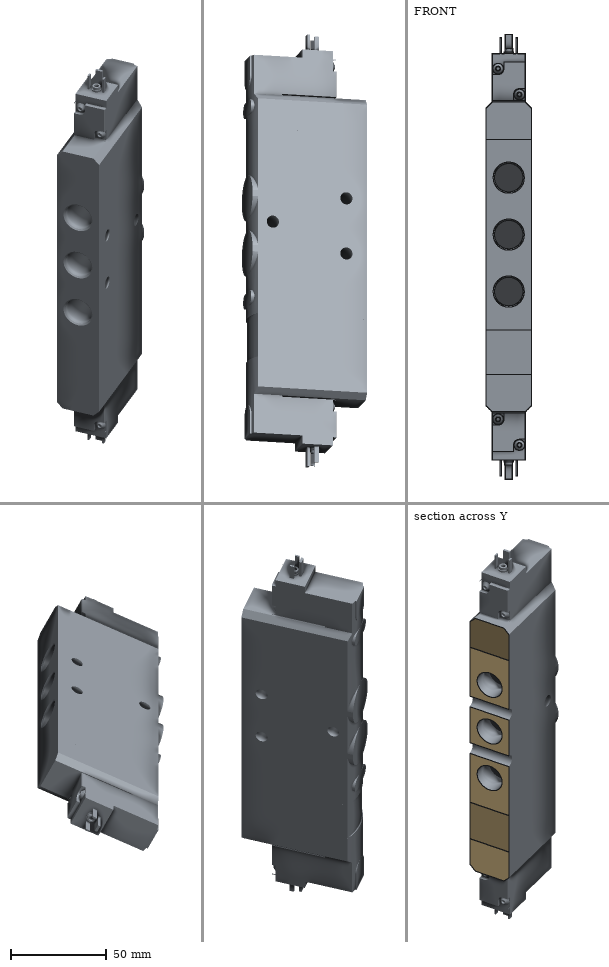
import cadquery as cq

overall_length = 234.0
width = 24.0
depth = 62.0

stack_half_length = 81.5
cap_length = 19.7
spacer_length = 23.5
upper_joint = stack_half_length - cap_length
lower_joint = -upper_joint
spacer_joint = lower_joint + spacer_length
main_mid = (upper_joint + spacer_joint) / 2

crown_drop = 3.0
spacer_inset = 0.7

port_pitch = 30.0
port_diameter = 15.0
port_depth = 23.5
port_chamfer = 0.7
mount_diameter = 6.5
front_mount_y = 11.2
back_mount_y = 51.0

port_boss_diameter = 24.3
plate_width = 18.3
plate_height = 8.0
cap_plate_z = 75.0
main_plate_z = -28.3
arm_pad_width = 12.6
arm_pad_straight = 10.8

shoulder_chamfer = 3.3
neck_width = width - 2 * shoulder_chamfer
arm_end = 102.5
arm_front_y = 45.5
pilot_gap = 0.7
pilot_start = stack_half_length + pilot_gap
pilot_front_y = 17.8
head_back_y = 34.2
head_end = 107.0

cover_thickness = 2.0
cover_bevel = 0.35
notch_radius = 3.0
screw_x = 5.5
upper_screw_z = 99.0
lower_screw_z = 85.5
screw_diameter = 5.5
screw_top_diameter = 2.5
screw_height = 1.6
screw_bevel = (screw_diameter - screw_top_diameter) / 2
socket_diameter = 2.01
socket_depth = 1.0

stud_y = 25.5
flange_diameter = 5.0
flange_height = 1.0
collar_diameter = 4.2
collar_height = 1.6
stud_bore_diameter = 2.5
back_blade_y = 29.2
back_blade_width = 3.7
back_blade_thickness = 1.5
side_blade_x = 4.2
side_blade_width = 2.3
side_blade_thickness = 1.0
side_blade_end = 115.4


def box(x_size, y_start, y_end, z_start, z_end, x_mid=0.0):
    """Block centred on x_mid in X, spanning the given Y and Z ranges."""
    size = (x_size, y_end - y_start, z_end - z_start)
    return cq.Workplane("XY").box(*size, centered=(True, False, False)).translate((x_mid, y_start, z_start))


def plane_facing_back(x, y, z):
    """Workplane at the given point whose normal is +Y and whose local axes are -X and Z."""
    return cq.Workplane(cq.Plane(origin=(x, y, z), xDir=(-1, 0, 0), normal=(0, 1, 0)))


def crowned_bar(z_start, z_end, inset=0.0):
    """Full-width bar with a flat front and an arched back."""
    side_y = depth - crown_drop
    return (
        cq.Workplane("XY", origin=(0, 0, z_start))
        .moveTo(-width / 2, 0)
        .lineTo(width / 2, 0)
        .lineTo(width / 2, side_y)
        .threePointArc((0, depth - inset), (-width / 2, side_y))
        .close()
        .extrude(z_end - z_start)
    )


def back_pad_plane(z):
    """Start plane of the back pads, level with the lowest edge of the crown."""
    return plane_facing_back(0, depth - crown_drop, z)


def back_plate(z):
    """Raised plate with round ends, lying across the crown."""
    return back_pad_plane(z).slot2D(plate_width, plate_height).extrude(crown_drop)


def port_cutter(z):
    """Blind round port in the front face with a chamfered mouth."""
    mouth_radius = port_diameter / 2 + port_chamfer
    return (
        cq.Workplane("XY")
        .lineTo(mouth_radius, 0)
        .lineTo(port_diameter / 2, port_chamfer)
        .lineTo(port_diameter / 2, port_depth)
        .lineTo(0, port_depth)
        .close()
        .revolve(360, (0, 0, 0), (0, 1, 0))
        .translate((0, 0, z))
    )


def port_boss(z):
    """Round boss on the back, trimmed to the width of the body."""
    disc = back_pad_plane(z).circle(port_boss_diameter / 2).extrude(crown_drop)
    return disc.intersect(body_envelope)


def mount_cutter(y, z):
    """Mounting hole straight through the width."""
    return cq.Workplane("YZ", origin=(-width / 2, y, z)).circle(mount_diameter / 2).extrude(width)


body_envelope = box(width, 0, depth, spacer_joint, upper_joint)
main_body = crowned_bar(spacer_joint, upper_joint).union(back_plate(main_plate_z))
between_ports = [main_mid - port_pitch / 2, main_mid + port_pitch / 2]
for z in between_ports:
    main_body = main_body.union(port_boss(z)).cut(mount_cutter(front_mount_y, z))
main_body = main_body.cut(mount_cutter(back_mount_y, main_mid))
for step in (-1, 0, 1):
    main_body = main_body.cut(port_cutter(main_mid + step * port_pitch))


spacer = crowned_bar(lower_joint, spacer_joint, spacer_inset)


def cap_block():
    """Crowned cap with chamfered shoulders and a narrow arm at the back."""
    shoulder = (
        cq.Workplane("XZ")
        .moveTo(-width / 2, upper_joint)
        .lineTo(width / 2, upper_joint)
        .lineTo(width / 2, stack_half_length - shoulder_chamfer)
        .lineTo(neck_width / 2, stack_half_length)
        .lineTo(-neck_width / 2, stack_half_length)
        .lineTo(-width / 2, stack_half_length - shoulder_chamfer)
        .close()
        .extrude(-depth)
    )
    arm = box(neck_width, arm_front_y, depth, stack_half_length, arm_end)
    return shoulder.union(arm).intersect(crowned_bar(upper_joint, arm_end))


def arm_pad():
    """Raised pad at the outer end of the arm, rounded towards the stack."""
    round_z = arm_end - arm_pad_straight
    disc = back_pad_plane(round_z).circle(arm_pad_width / 2).extrude(crown_drop)
    trim = box(arm_pad_width, 0, depth, stack_half_length, arm_end)
    strip = box(arm_pad_width, depth - crown_drop, depth, round_z, arm_end)
    return disc.intersect(trim).union(strip)


def notch_cutter(side, z):
    """Corner notch around a screw: round inside, open to the nearest cover edges."""
    reach = 2 * notch_radius
    start_y = pilot_front_y - cover_thickness
    x = side * screw_x
    disc = plane_facing_back(x, start_y, z).circle(notch_radius).extrude(cover_thickness)
    towards_side = box(reach, start_y, pilot_front_y, z - notch_radius, z + notch_radius,
                       x + side * notch_radius)
    end_low = min(z, z - side * reach)
    end_high = max(z, z - side * reach)
    towards_end = box(reach, start_y, pilot_front_y, end_low, end_high, x)
    return disc.union(towards_side).union(towards_end)


def screw_head(side, z):
    """Bevelled screw head with a round socket."""
    return (
        cq.Workplane("XZ", origin=(side * screw_x, pilot_front_y, z))
        .circle(screw_diameter / 2)
        .extrude(screw_height)
        .faces("<Y")
        .chamfer(screw_bevel)
        .faces("<Y")
        .workplane()
        .hole(socket_diameter, socket_depth)
    )


def pilot_block():
    """Pilot housing with its stepped head, front cover and screws."""
    housing = box(neck_width, pilot_front_y, arm_front_y, pilot_start, arm_end)
    head = box(neck_width, pilot_front_y, head_back_y, pilot_start, head_end)
    cover_front_y = pilot_front_y - cover_thickness
    cover = box(neck_width, cover_front_y, pilot_front_y, pilot_start, arm_end)
    cover = cover.faces("<Y").edges("|Z").chamfer(cover_bevel)
    block = housing.union(head)
    for side, z in ((-1, upper_screw_z), (1, lower_screw_z)):
        cover = cover.cut(notch_cutter(side, z))
        block = block.union(screw_head(side, z))
    return block.union(cover)


def connector():
    """Stepped, bored stud and three flat contact blades on the pilot's head."""
    stud = (
        cq.Workplane("XY", origin=(0, stud_y, head_end))
        .circle(flange_diameter / 2)
        .extrude(flange_height)
        .faces(">Z")
        .workplane()
        .circle(collar_diameter / 2)
        .extrude(collar_height)
        .faces(">Z")
        .workplane()
        .hole(stud_bore_diameter, collar_height)
    )
    back_blade = box(back_blade_width, back_blade_y - back_blade_thickness / 2,
                     back_blade_y + back_blade_thickness / 2, head_end, overall_length / 2)
    contacts = stud.union(back_blade)
    for side in (-1, 1):
        side_blade = box(side_blade_thickness, stud_y - side_blade_width / 2,
                         stud_y + side_blade_width / 2, head_end, side_blade_end, side * side_blade_x)
        contacts = contacts.union(side_blade)
    return contacts


def end_cap():
    """End cap for the upper end of the stack, in one piece with its pilot valve."""
    return cap_block().union(arm_pad()).union(pilot_block()).union(connector())


upper_cap = end_cap().union(back_plate(cap_plate_z))
lower_cap = end_cap().rotate((0, 0, 0), (0, 1, 0), 180)

result = cq.Compound.makeCompound([main_body.val(), spacer.val(), upper_cap.val(), lower_cap.val()])